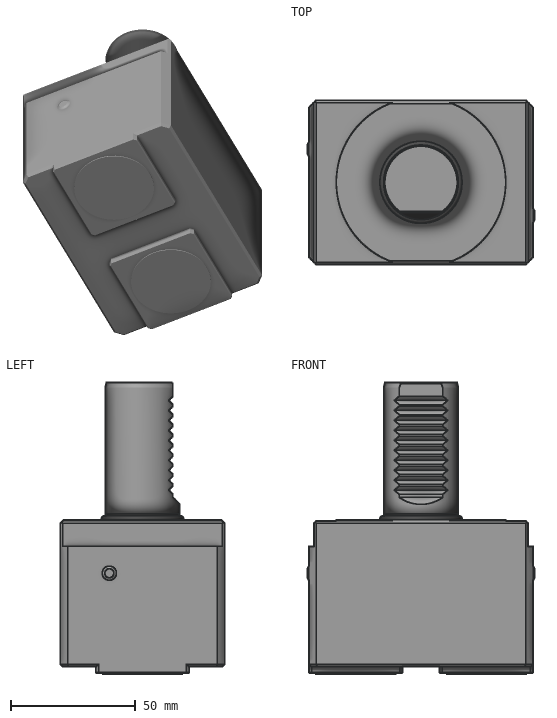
import cadquery as cq


body_width = 90.0
body_depth = 66.0
body_bottom_z = -59.0
upper_width = 86.0
step_z = -10.7
corner_chamfer = 3.0
seat_relief = 0.5
seat_radius = 34.0
top_chamfer = 1.0
bottom_chamfer = 1.0

ring_radius = 16.5
ring_height = 1.5
ring_rounding = 1.2

shank_radius = 15.0
shank_length = 55.0
tip_cone_length = 2.0
tip_cone_inset = 0.5
neck_top_z = 2.3
neck_radius = 14.6

flat_offset = 12.2
flat_bottom_z = 8.9
flat_top_chamfer = 0.5
tooth_depth = 1.65
tooth_pitch = 4.0
valley_count = 10
first_valley_z = 11.8

pad_size = 37.6
pad_top_z = -57.2
pad_bottom_z = -61.6
pad_corner_chamfer = 1.2
pad_rim_chamfer = 0.4
disc_radius = 16.0
disc_bottom_z = -62.0

nozzle_base_radius = 5.7 / 2
nozzle_tip_radius = 1.8
nozzle_height = 0.565
nozzle_offset_y = 13.3
nozzle_z = -21.5


def block(x_size, y_size, z_low, z_high):
    """Box centred on the Z axis between two heights."""
    return cq.Workplane("XY").workplane(offset=z_low).rect(x_size, y_size).extrude(z_high - z_low)


def make_body():
    body = block(body_width, body_depth, body_bottom_z, 0).edges("|Z").chamfer(corner_chamfer)
    body = body.faces("<Z").edges().chamfer(bottom_chamfer)

    upper = block(upper_width, body_depth, body_bottom_z, 0)
    upper = upper.faces(">Z").edges().chamfer(top_chamfer + seat_relief)
    step_clearance = block(body_width, body_depth, step_z, 0).cut(upper)
    body = body.cut(step_clearance)

    relief = block(body_width, body_depth, -seat_relief, 0)
    relief = relief.cut(cq.Workplane("XY").circle(seat_radius).extrude(-seat_relief))
    return body.cut(relief)


def make_shank():
    profile = [
        (0, -seat_relief),
        (neck_radius, -seat_relief),
        (neck_radius, ring_height),
        (shank_radius, neck_top_z),
        (shank_radius, shank_length - tip_cone_length),
        (shank_radius - tip_cone_inset, shank_length),
        (0, shank_length),
    ]
    return cq.Workplane("XZ").polyline(profile).close().revolve(360, (0, 0), (0, 1))


def make_sealing_ring():
    ring = cq.Workplane("XY").circle(ring_radius).extrude(ring_height)
    return ring.faces(">Z").edges().fillet(ring_rounding)


def make_tooth_cutter():
    """Prism along X that leaves the flat, its sloping run-out and the V-shaped valleys."""
    flat_y = -flat_offset
    valley_y = flat_y + tooth_depth
    run_out = shank_radius - flat_offset
    points = [(-shank_radius, flat_bottom_z - run_out), (flat_y, flat_bottom_z)]
    for i in range(valley_count):
        valley_z = first_valley_z + i * tooth_pitch
        points.append((flat_y, valley_z - tooth_depth))
        points.append((valley_y, valley_z))
        points.append((flat_y, valley_z + tooth_depth))
    points.append((flat_y, shank_length - flat_top_chamfer))
    points.append((flat_y + flat_top_chamfer, shank_length))
    points.append((-shank_radius, shank_length))
    return cq.Workplane("YZ").polyline(points).close().extrude(shank_radius, both=True)


def make_pad(side):
    center_x = side * (body_width - pad_size) / 2
    pad = block(pad_size, pad_size, pad_bottom_z, pad_top_z).edges("|Z").chamfer(pad_corner_chamfer)
    pad = pad.faces("<Z").edges().chamfer(pad_rim_chamfer)
    disc = cq.Workplane("XY").workplane(offset=disc_bottom_z).circle(disc_radius)
    pad = pad.union(disc.extrude(pad_top_z - disc_bottom_z))
    return pad.translate((center_x, 0, 0))


def make_nozzle(side):
    base = cq.Vector(side * body_width / 2, -side * nozzle_offset_y, nozzle_z)
    outward = cq.Vector(side, 0, 0)
    cone = cq.Solid.makeCone(nozzle_base_radius, nozzle_tip_radius, nozzle_height, base, outward)
    return cq.Workplane(obj=cone)


result = make_body().union(make_shank().cut(make_tooth_cutter())).union(make_sealing_ring())
for side in (-1, 1):
    result = result.union(make_pad(side)).union(make_nozzle(side))